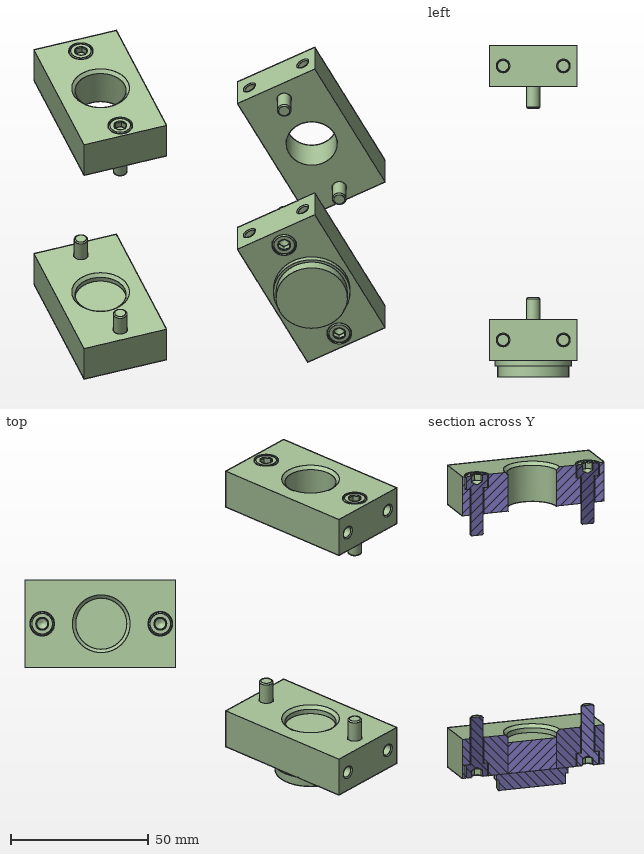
import cadquery as cq


BLOCK_LENGTH = 55.0
BLOCK_WIDTH = 32.0
BLOCK_HEIGHT = 15.0
OVERALL_HEIGHT = 121.0
BLOCK_CENTER_X = -0.4

BORE_DIAMETER = 18.6
BORE_RIM_DIAMETER = 21.0
BORE_CHAMFER = (BORE_RIM_DIAMETER - BORE_DIAMETER) / 2

SIDE_HOLE_DIAMETER = 4.1
SIDE_HOLE_MOUTH_DIAMETER = 5.0
SIDE_HOLE_CHAMFER = (SIDE_HOLE_MOUTH_DIAMETER - SIDE_HOLE_DIAMETER) / 2
SIDE_HOLE_DEPTH = 10.0
SIDE_HOLE_OFFSET = 11.0

SCREW_OFFSET = 21.5
SCREW_POSITIONS = (-SCREW_OFFSET, SCREW_OFFSET)
SCREW_DIAMETER = 5.0
SCREW_TIP_CHAMFER = 0.5
SCREW_PROTRUSION = 8.0
HEAD_DIAMETER = 8.5
HEAD_HEIGHT = 5.0
HEAD_CHAMFER = 0.5
SHANK_LENGTH = BLOCK_HEIGHT - HEAD_HEIGHT + SCREW_PROTRUSION
CLEARANCE_DIAMETER = 5.3
COUNTERBORE_DIAMETER = 9.0

SOCKET_FLATS = 4.0
SOCKET_CORNERS = SOCKET_FLATS / 0.75 ** 0.5
SOCKET_ROTATION = 30
SOCKET_DEPTH = 2.5
SOCKET_POINT_DEPTH = 1.1
SOCKET_MOUTH_DIAMETER = 4.7
SOCKET_MOUTH_DEPTH = (SOCKET_MOUTH_DIAMETER - SOCKET_FLATS) / 2

CAP_DIAMETER = 26.0
CAP_HEIGHT = 4.0
COLLAR_DIAMETER = 28.0
COLLAR_HEIGHT = 2.0
INSERT_RECESS = 3.0

LOWER_BLOCK_BOTTOM = CAP_HEIGHT + COLLAR_HEIGHT
UPPER_BLOCK_BOTTOM = OVERALL_HEIGHT - BLOCK_HEIGHT


def cylinder(diameter, height, base=0.0):
    """Upright cylinder on the Z axis, starting at the given level."""
    return cq.Workplane("XY").workplane(offset=base).circle(diameter / 2).extrude(height)


def flip_in_block(shape):
    """Turn a shape upside down about the middle of a block's height."""
    middle = BLOCK_HEIGHT / 2
    return shape.rotate((0, 0, middle), (1, 0, middle), 180)


def cut_bore(block):
    """Cut the central through bore and chamfer its upper rim."""
    bored = block.cut(cylinder(BORE_DIAMETER, BLOCK_HEIGHT))
    rim = bored.faces(">Z").edges("%CIRCLE")
    return rim.chamfer(BORE_CHAMFER)


def cut_side_holes(block):
    """Cut the two blind holes with chamfered mouths in the -X end face."""
    holes = (
        block.faces("<X").workplane(centerOption="CenterOfBoundBox")
        .pushPoints([(-SIDE_HOLE_OFFSET, 0), (SIDE_HOLE_OFFSET, 0)])
        .hole(SIDE_HOLE_DIAMETER, SIDE_HOLE_DEPTH)
    )
    mouths = holes.faces("<X").edges("%CIRCLE")
    return mouths.chamfer(SIDE_HOLE_CHAMFER)


def make_screw_hole():
    """Clearance hole through a block, counterbored from above for the screw head."""
    clearance = cylinder(CLEARANCE_DIAMETER, BLOCK_HEIGHT)
    counterbore = cylinder(COUNTERBORE_DIAMETER, HEAD_HEIGHT, BLOCK_HEIGHT - HEAD_HEIGHT)
    return clearance.union(counterbore)


def make_block(screw_hole):
    """Block standing on Z = 0 with the bore, the side holes and two screw holes."""
    blank = (
        cq.Workplane("XY")
        .center(BLOCK_CENTER_X, 0)
        .box(BLOCK_LENGTH, BLOCK_WIDTH, BLOCK_HEIGHT, centered=(True, True, False))
    )
    block = cut_side_holes(cut_bore(blank))
    for x in SCREW_POSITIONS:
        block = block.cut(screw_hole.translate((x, 0, 0)))
    return block


def make_socket():
    """Hexagon socket cutter with a conical bottom and a countersunk mouth, opening at the top of a block."""
    floor = BLOCK_HEIGHT - SOCKET_DEPTH
    hexagon = (
        cq.Workplane("XY").workplane(offset=floor)
        .transformed(rotate=(0, 0, SOCKET_ROTATION))
        .polygon(6, SOCKET_CORNERS)
        .extrude(SOCKET_DEPTH)
    )
    point_radius = SOCKET_FLATS / 2
    point = cq.Solid.makeCone(0, point_radius, SOCKET_POINT_DEPTH, cq.Vector(0, 0, floor - SOCKET_POINT_DEPTH))
    mouth_level = cq.Vector(0, 0, BLOCK_HEIGHT - SOCKET_MOUTH_DEPTH)
    mouth = cq.Solid.makeCone(point_radius, SOCKET_MOUTH_DIAMETER / 2, SOCKET_MOUTH_DEPTH, mouth_level)
    return hexagon.union(point).union(mouth)


def make_screw():
    """Cap screw pointing down, its head flush with the top of a block that stands on Z = 0."""
    head = cylinder(HEAD_DIAMETER, HEAD_HEIGHT, BLOCK_HEIGHT - HEAD_HEIGHT).faces(">Z").chamfer(HEAD_CHAMFER)
    shank = cylinder(SCREW_DIAMETER, SHANK_LENGTH, -SCREW_PROTRUSION).faces("<Z").chamfer(SCREW_TIP_CHAMFER)
    return head.union(shank).cut(make_socket())


def make_bore_insert():
    """Round insert that fills the lower bore from the block's underside up to the recess."""
    return cylinder(BORE_DIAMETER, BLOCK_HEIGHT - INSERT_RECESS, LOWER_BLOCK_BOTTOM)


def make_cap():
    """Stepped round cap that closes the underside of the lower block."""
    return cylinder(CAP_DIAMETER, CAP_HEIGHT).union(cylinder(COLLAR_DIAMETER, COLLAR_HEIGHT, CAP_HEIGHT))


screw_down = make_screw()
screw_up = flip_in_block(screw_down)
screw_hole_down = make_screw_hole()
screw_hole_up = flip_in_block(screw_hole_down)

upper_block = make_block(screw_hole_down).translate((0, 0, UPPER_BLOCK_BOTTOM))
lower_block = make_block(screw_hole_up).translate((0, 0, LOWER_BLOCK_BOTTOM))

screws = []
for x in SCREW_POSITIONS:
    screws.append(screw_down.translate((x, 0, UPPER_BLOCK_BOTTOM)).val())
    screws.append(screw_up.translate((x, 0, LOWER_BLOCK_BOTTOM)).val())

bore_insert = make_bore_insert()
cap = make_cap()

result = cq.Compound.makeCompound(
    [upper_block.val(), lower_block.val(), *screws, bore_insert.val(), cap.val()]
)